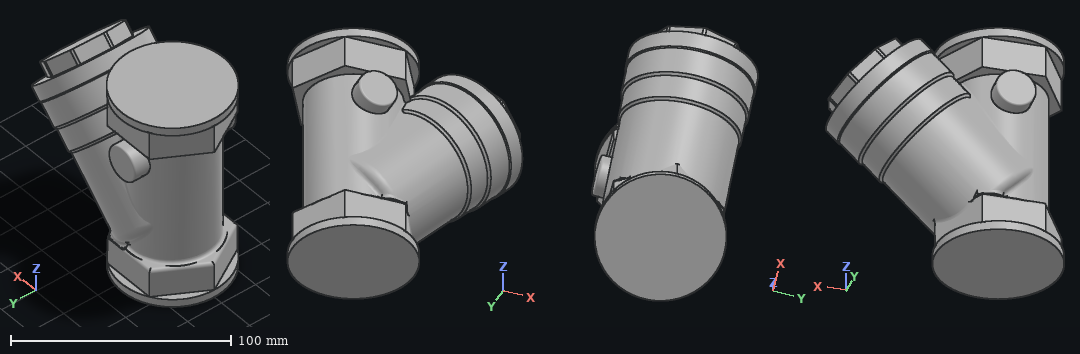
import cadquery as cq
import math

total_height = 108.0
flange_diameter = 60.0
flange_thickness = 4.5
hex_height = 16.0
barrel_radius = 23.0
edge_round = 2.0
root_blend = 2.0
branch_blend = 2.0
blend_sink = 0.4

boss_radius = 9.5
boss_height = 76.8
boss_round = 1.0

branch_angle = 45
branch_height = 27.0
neck_radius = 27.5
neck_end_round = 5.0
step = 1.0
step_length = 1.3
disc_step_length = 0.7
collar_start = 47.6
cap_start = 60.3
disc_start = 75.0
disc_end = 83.0
knob_end = 90.8
knob_corner_diameter = 44.9
knob_flat_width = 42.0
knob_sides = 8

flange_radius = flange_diameter / 2
hex_top = flange_thickness + hex_height
branch_origin = cq.Vector(0, 0, branch_height)
branch_axis = cq.Vector(
    math.cos(math.radians(branch_angle)), 0, math.sin(math.radians(branch_angle))
)


def branch_plane(distance):
    """Plane square to the branch axis, with its local X along the part's Y."""
    return cq.Plane(
        origin=branch_origin + branch_axis * distance,
        xDir=(0, 1, 0),
        normal=branch_axis,
    )


def cylinder_z(radius, bottom, top):
    return cq.Workplane("XY").workplane(offset=bottom).circle(radius).extrude(top - bottom)


def hexagon(bottom):
    return (
        cq.Workplane("XY")
        .workplane(offset=bottom)
        .polygon(6, flange_diameter)
        .extrude(hex_height)
    )


def barrel():
    return cylinder_z(barrel_radius, flange_thickness, total_height - flange_thickness)


def neck():
    """Plain cylindrical part of the branch with its rounded inner end."""
    return (
        cq.Workplane(branch_plane(0))
        .circle(neck_radius)
        .extrude(disc_start)
        .faces(cq.selectors.DirectionMinMaxSelector(branch_axis, directionMax=False))
        .edges()
        .fillet(neck_end_round)
    )


def barrel_with_neck():
    """Barrel and neck joined by a concave blend along their meeting curve."""
    joined = barrel().union(neck())
    return joined.edges("%BSPLINE").fillet(branch_blend)


def root_ring():
    """Concave ring that blends the barrel into the top of the lower hexagon."""
    inner = barrel_radius - root_blend
    outer = barrel_radius + root_blend
    return (
        cq.Workplane("XZ")
        .moveTo(inner, hex_top - blend_sink)
        .lineTo(outer, hex_top - blend_sink)
        .lineTo(outer, hex_top)
        .radiusArc((barrel_radius, hex_top + root_blend), root_blend)
        .lineTo(inner, hex_top + root_blend)
        .close()
        .revolve(360, (0, 0, 0), (0, 1, 0))
    )


def neck_blend(block, neck_shape, zone):
    """Concave blend of the neck onto a block, kept only inside the zone."""
    joined = block.union(neck_shape)
    meeting_curve = joined.edges("%ELLIPSE or %BSPLINE")
    return meeting_curve.fillet(branch_blend).cut(block).cut(neck_shape).intersect(zone)


def hex_side_blend(side):
    """Blend of the neck onto one of the two hexagon flats below it (side is +1 or -1)."""
    reach = 2 * flange_diameter
    flat_distance = flange_radius * math.cos(math.pi / 6)
    block = (
        cq.Workplane("XY")
        .box(reach, 2 * reach, 2 * reach)
        .translate((flat_distance - reach / 2, 0, 0))
        .rotate((0, 0, 0), (0, 0, 1), side * 30)
    )
    long_neck = cq.Workplane(branch_plane(0)).circle(neck_radius).extrude(reach)
    zone = (
        cq.Workplane("XY")
        .box(reach, reach, hex_top - edge_round, centered=(False, True, False))
        .translate((0, side * reach / 2, 0))
    )
    return neck_blend(block, long_neck, zone)


def hex_top_blend():
    """Blend of the neck onto the top of the lower hexagon."""
    reach = 4 * flange_diameter
    block_top = hex_top - blend_sink
    block = (
        cq.Workplane("XY")
        .box(reach, reach, reach)
        .translate((0, 0, block_top - reach / 2))
    )
    return neck_blend(block, neck(), hexagon(block_top))


def end_fittings():
    flange_low = cylinder_z(flange_radius, 0, flange_thickness)
    flange_high = cylinder_z(flange_radius, total_height - flange_thickness, total_height)
    hex_low = hexagon(flange_thickness).faces(">Z").edges().fillet(edge_round)
    hex_high = hexagon(total_height - hex_top)
    return hex_low.union(root_ring()).union(flange_low).union(hex_high).union(flange_high)


def branch_head():
    """Stepped collar, cap and disc turned about the branch axis."""
    collar_radius = neck_radius + step
    cap_radius = collar_radius + step
    profile = [
        (0, collar_start),
        (neck_radius, collar_start),
        (collar_radius, collar_start + step_length),
        (collar_radius, cap_start),
        (cap_radius, cap_start + step_length),
        (cap_radius, disc_start - disc_step_length),
        (flange_radius, disc_start),
        (flange_radius, disc_end),
        (0, disc_end),
    ]
    axial_plane = cq.Plane(
        origin=branch_origin,
        xDir=(0, 1, 0),
        normal=cq.Vector(0, 1, 0).cross(branch_axis),
    )
    section = cq.Workplane(axial_plane).polyline(profile).close()
    return section.revolve(360, (0, 0, 0), (0, 1, 0))


def knob():
    """Octagonal knob whose corners are trimmed by a cylinder."""
    height = knob_end - disc_end
    full_corner = knob_flat_width / math.cos(math.pi / knob_sides)
    octagon = cq.Workplane(branch_plane(disc_end)).polygon(knob_sides, full_corner).extrude(height)
    trim = cq.Workplane(branch_plane(disc_end)).circle(knob_corner_diameter / 2).extrude(height)
    return octagon.intersect(trim)


def bosses():
    return (
        cq.Workplane("XZ")
        .center(0, boss_height)
        .circle(boss_radius)
        .extrude(flange_radius, both=True)
        .edges("%CIRCLE")
        .fillet(boss_round)
    )


result = barrel_with_neck().union(end_fittings())
for blend_side in (1, -1):
    result = result.union(hex_side_blend(blend_side))
result = result.union(hex_top_blend())
result = result.union(branch_head()).union(knob()).union(bosses())